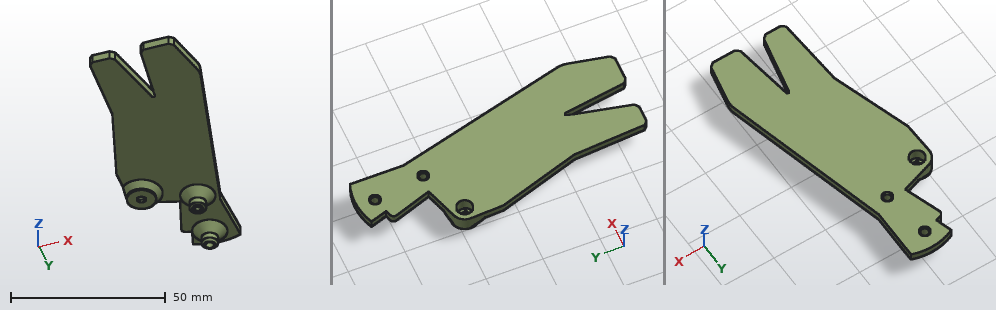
import cadquery as cq
import math

plate_thickness = 3.0
pin_length = 6.0

hinge_x, hinge_y = 4.8, 67.6
hinge_diameter = 9.6
hinge_radius = hinge_diameter / 2
hinge_height = 2.7
hinge_rim_height = 0.6
hinge_bore_diameter = 5.5
hinge_floor_thickness = 1.2
hinge_hole_diameter = 2.9
groove_width = 2.7
groove_depth = 0.5
groove_angle = 12.0

upper_pin = (18.8, 93.2)
lower_pin = (21.4, 75.1)
pin_diameter = 5.5
cone_height = 3.0
shoulder_depth = 5.1
tip_diameter = 3.8
neck_diameter = 2.9
lip_thickness = 0.1
upper_hole_diameter = 2.9
lower_hole_diameter = 2.7
countersink_diameter = 3.8

left_edge_bottom = (0.5, 55.7)
left_hip = (9.9, 26.9)
right_edge_x = 27.6
right_edge_bottom = 79.4
right_edge_top = 98.2
crown = (20.2, 99.5)
crown_left_end = (11.3, 97.5)
notch_inner_corner = (13.2, 91.6)
notch_corner = (10.0, 90.6)
foot_corners = [(11.7, 0.2), (20.1, 0.2), (29.5, 0.0), (40.5, 0.0)]
slot_tip = (25.6, 25.8)
inner_corner = (14.9, 75.9)
shoulder_corner_x = 43.9
shoulder_corner_y = 16.9
shoulder_round = 8.0
notch_round = 1.5
foot_chamfer = 1.2
slot_tip_round = 0.5


def make_plate():
    """Plate with two feet, a notched neck and a corner rounded about the hinge."""
    dx = inner_corner[0] - hinge_x
    dy = inner_corner[1] - hinge_y
    tangent_angle = math.atan2(dy, dx) + math.acos(hinge_radius / math.hypot(dx, dy))
    tangent_point = (
        hinge_x + hinge_radius * math.cos(tangent_angle),
        hinge_y + hinge_radius * math.sin(tangent_angle),
    )
    middle_angle = (tangent_angle + math.pi) / 2
    arc_middle = (
        hinge_x + hinge_radius * math.cos(middle_angle),
        hinge_y + hinge_radius * math.sin(middle_angle),
    )
    shoulder_corner = (shoulder_corner_x, shoulder_corner_y)
    plate = (
        cq.Workplane("XY")
        .moveTo(hinge_x - hinge_radius, hinge_y)
        .lineTo(*left_edge_bottom)
        .lineTo(*left_hip)
        .lineTo(*foot_corners[0])
        .lineTo(*foot_corners[1])
        .lineTo(*slot_tip)
        .lineTo(*foot_corners[2])
        .lineTo(*foot_corners[3])
        .lineTo(*shoulder_corner)
        .lineTo(right_edge_x, right_edge_bottom)
        .lineTo(right_edge_x, right_edge_top)
        .threePointArc(crown, crown_left_end)
        .lineTo(*notch_inner_corner)
        .lineTo(*notch_corner)
        .lineTo(*inner_corner)
        .lineTo(*tangent_point)
        .threePointArc(arc_middle, (hinge_x - hinge_radius, hinge_y))
        .close()
        .extrude(plate_thickness)
    )

    def edge_at(point):
        middle = (point[0], point[1], plate_thickness / 2)
        return cq.selectors.NearestToPointSelector(middle)

    for corner in foot_corners:
        plate = plate.edges("|Z").edges(edge_at(corner)).chamfer(foot_chamfer)
    rounds = (
        (slot_tip, slot_tip_round),
        (shoulder_corner, shoulder_round),
        (notch_corner, notch_round),
    )
    for corner, radius in rounds:
        plate = plate.edges("|Z").edges(edge_at(corner)).fillet(radius)
    return plate


def revolve_profile(points, place):
    """Turn (radius, z) points about a vertical axis through place."""
    profile = cq.Workplane("XZ").polyline(points).close()
    return profile.revolve(360, (0, 0, 0), (0, 1, 0)).translate((*place, 0))


def make_pin(place, tip_points):
    """Flared pin under the plate, finished by the given tip profile."""
    radius = pin_diameter / 2
    flare = [(0, 0), (radius + cone_height, 0), (radius, -cone_height), (radius, -shoulder_depth)]
    return revolve_profile(flare + tip_points + [(0, -pin_length)], place)


def make_hinge_boss(plate):
    """Coned boss, trimmed flush with the plate outline."""
    cone = hinge_height - hinge_rim_height
    points = [
        (0, 0),
        (hinge_radius + cone, 0),
        (hinge_radius, -cone),
        (hinge_radius, -hinge_height),
        (0, -hinge_height),
    ]
    boss = revolve_profile(points, (hinge_x, hinge_y))
    envelope = plate.translate((0, 0, -plate_thickness))
    return boss.intersect(envelope)


def make_pin_hole(place, diameter):
    """Through hole with a 45 degree countersink in the plate's top face."""
    hole = diameter / 2
    sink = countersink_diameter / 2
    points = [
        (0, -pin_length),
        (hole, -pin_length),
        (hole, plate_thickness - (sink - hole)),
        (sink, plate_thickness),
        (0, plate_thickness),
    ]
    return revolve_profile(points, place)


def make_hinge_cavity():
    """Bore from above with a grooved floor and a smaller through hole."""
    floor_z = hinge_floor_thickness - hinge_height
    bore = cq.Workplane("XY", origin=(0, 0, floor_z)).circle(hinge_bore_diameter / 2)
    bore = bore.extrude(plate_thickness - floor_z)
    groove = (
        cq.Workplane("XY", origin=(0, 0, floor_z - groove_depth))
        .rect(hinge_bore_diameter, groove_width)
        .extrude(groove_depth)
        .rotate((0, 0, 0), (0, 0, 1), groove_angle)
    )
    round_limit = (
        cq.Workplane("XY", origin=(0, 0, floor_z - groove_depth))
        .circle(hinge_bore_diameter / 2)
        .extrude(groove_depth)
    )
    hole = cq.Workplane("XY", origin=(0, 0, -hinge_height)).circle(hinge_hole_diameter / 2)
    hole = hole.extrude(hinge_height + plate_thickness)
    return bore.union(groove.intersect(round_limit)).union(hole).translate((hinge_x, hinge_y, 0))


taper_tip = [(tip_diameter / 2, -pin_length)]
lipped_tip = [
    (neck_diameter / 2, -shoulder_depth),
    (neck_diameter / 2, lip_thickness - pin_length),
    (tip_diameter / 2, lip_thickness - pin_length),
    (tip_diameter / 2, -pin_length),
]

plate = make_plate()
result = (
    plate.union(make_hinge_boss(plate))
    .union(make_pin(upper_pin, taper_tip))
    .union(make_pin(lower_pin, lipped_tip))
    .cut(make_pin_hole(upper_pin, upper_hole_diameter))
    .cut(make_pin_hole(lower_pin, lower_hole_diameter))
    .cut(make_hinge_cavity())
)